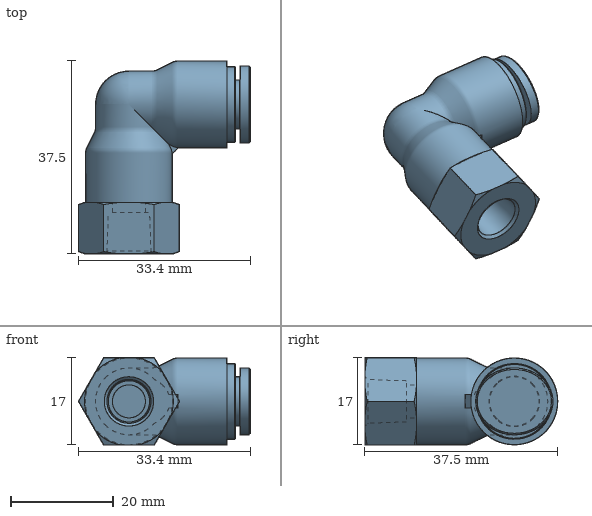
import cadquery as cq
import math

OVERALL_X = 33.4
OVERALL_Y = 37.45

NECK_DIA = 13.0
BARREL_DIA = 16.9
CONE_START = 4.98
CONE_END = 8.95
CONE_BLEND_RADIUS = 2.0
LEG_LENGTH = 19.02
WEB_THICKNESS = 2.62
WEB_REACH = 9.55

HEX_ACROSS_FLATS = 17.0
HEX_CORNER_DIA = HEX_ACROSS_FLATS / math.cos(math.pi / 6)
HEX_LENGTH = OVERALL_Y - BARREL_DIA / 2 - LEG_LENGTH
HEX_FACE_DIA = 17.25
HEX_CHAMFER_ANGLE = 20
SOCKET_MOUTH_DIA = 9.6
SOCKET_DIA = 8.55
SOCKET_FLOOR_DIA = 8.0
SOCKET_DEPTH = 8.0
SOCKET_BEVEL_DEPTH = 0.55
PASSAGE_DIA = 6.4

COLLAR_DIA = 14.7
COLLAR_LENGTH = 1.7
COLLAR_CHAMFER = 0.2

STEM_DIA = 9.6
STEM_LENGTH = 0.9
STEM_FLARE = 0.1
FLANGE_WIDTH_Y = 15.0
FLANGE_WIDTH_Z = 13.0
FLANGE_CHAMFER = 0.3
FLANGE_LENGTH = OVERALL_X - HEX_CORNER_DIA / 2 - LEG_LENGTH - COLLAR_LENGTH - STEM_LENGTH


def make_leg():
    """Leg along +X: neck, blended cone and barrel, turned about the X axis."""
    neck_radius = NECK_DIA / 2
    barrel_radius = BARREL_DIA / 2
    cone_angle = math.atan2(barrel_radius - neck_radius, CONE_END - CONE_START)
    tangent_length = CONE_BLEND_RADIUS * math.tan(cone_angle / 2)
    along_cone = tangent_length * math.cos(cone_angle)
    across_cone = tangent_length * math.sin(cone_angle)
    return (
        cq.Workplane("XY")
        .lineTo(0, neck_radius)
        .lineTo(CONE_START - tangent_length, neck_radius)
        .tangentArcPoint((CONE_START + along_cone, neck_radius + across_cone), relative=False)
        .lineTo(CONE_END - along_cone, barrel_radius - across_cone)
        .tangentArcPoint((CONE_END + tangent_length, barrel_radius), relative=False)
        .lineTo(LEG_LENGTH, barrel_radius)
        .lineTo(LEG_LENGTH, 0)
        .close()
        .revolve(360, (0, 0, 0), (1, 0, 0))
    )


def make_elbow():
    """Both legs, the ball at their bend and the thin web across the inner corner."""
    leg_x = make_leg()
    leg_y = leg_x.rotate((0, 0, 0), (0, 0, 1), -90)
    ball = cq.Workplane("XY").sphere(NECK_DIA / 2)
    inner = BARREL_DIA / 2
    web = (
        cq.Workplane("XY")
        .polyline([(0, 0), (WEB_REACH, -inner), (inner, -WEB_REACH)])
        .close()
        .extrude(WEB_THICKNESS / 2, both=True)
    )
    return leg_x.union(leg_y).union(ball).union(web)


def make_socket():
    """Hexagon along -Y with bevelled corners at both ends and a stepped bore from its open end."""
    near_end = -LEG_LENGTH
    far_end = near_end - HEX_LENGTH
    hexagon = cq.Workplane("XZ", origin=(0, near_end, 0)).polygon(6, HEX_CORNER_DIA).extrude(HEX_LENGTH)

    face_radius = HEX_FACE_DIA / 2
    corner_radius = HEX_CORNER_DIA / 2
    bevel = (corner_radius - face_radius) * math.tan(math.radians(HEX_CHAMFER_ANGLE))
    bevel_envelope = (
        cq.Workplane("XY")
        .polyline([
            (0, near_end),
            (face_radius, near_end),
            (corner_radius, near_end - bevel),
            (corner_radius, far_end + bevel),
            (face_radius, far_end),
            (0, far_end),
        ])
        .close()
        .revolve(360, (0, 0, 0), (0, 1, 0))
    )
    bore = (
        cq.Workplane("XY")
        .polyline([
            (0, far_end),
            (SOCKET_MOUTH_DIA / 2, far_end),
            (SOCKET_DIA / 2, far_end + SOCKET_BEVEL_DEPTH),
            (SOCKET_FLOOR_DIA / 2, far_end + SOCKET_DEPTH),
            (PASSAGE_DIA / 2, far_end + SOCKET_DEPTH),
            (PASSAGE_DIA / 2, near_end),
            (0, near_end),
        ])
        .close()
        .revolve(360, (0, 0, 0), (0, 1, 0))
    )
    return hexagon.intersect(bevel_envelope).cut(bore)


def make_collar():
    collar = cq.Workplane("YZ", origin=(LEG_LENGTH, 0, 0)).circle(COLLAR_DIA / 2).extrude(COLLAR_LENGTH)
    return collar.faces(">X").chamfer(COLLAR_CHAMFER)


def make_release_button():
    stem_start = LEG_LENGTH + COLLAR_LENGTH
    stem_end = stem_start + STEM_LENGTH
    stem_radius = STEM_DIA / 2
    stem = (
        cq.Workplane("XY")
        .polyline([
            (stem_start, 0),
            (stem_start, stem_radius),
            (stem_end - STEM_FLARE, stem_radius),
            (stem_end, stem_radius + STEM_FLARE),
            (stem_end, 0),
        ])
        .close()
        .revolve(360, (0, 0, 0), (1, 0, 0))
    )
    flange = (
        cq.Workplane("YZ", origin=(stem_end, 0, 0))
        .ellipse(FLANGE_WIDTH_Y / 2, FLANGE_WIDTH_Z / 2)
        .extrude(FLANGE_LENGTH)
        .faces(">X")
        .chamfer(FLANGE_CHAMFER)
    )
    return stem.union(flange)


elbow = make_elbow()
socket = make_socket()
collar = make_collar()
release_button = make_release_button()

result = cq.Compound.makeCompound([
    elbow.val(),
    socket.val(),
    collar.val(),
    release_button.val(),
])